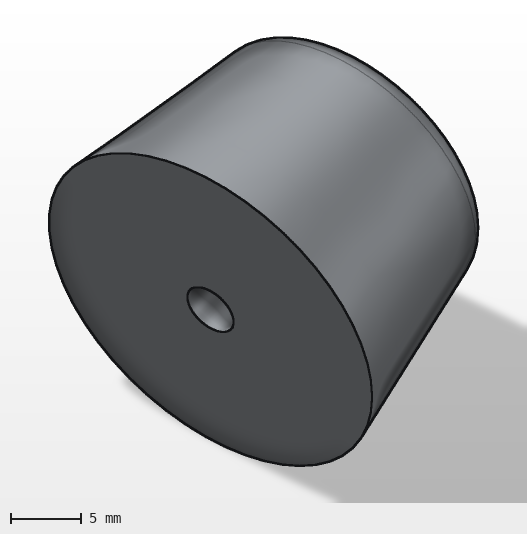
import cadquery as cq

base_diameter = 28.0
tip_diameter = 22.0
height = 18.0
edge_radius = 2.0
hole_diameter = 4.0

half_profile = (
    cq.Workplane("XY")
    .polyline([
        (0, 0),
        (base_diameter / 2, 0),
        (tip_diameter / 2, height),
        (0, height),
    ])
    .close()
)
body = half_profile.revolve(360, (0, 0, 0), (0, 1, 0))

body = body.faces(">Y").edges().fillet(edge_radius)

hole = (
    cq.Workplane("XZ")
    .circle(hole_diameter / 2)
    .extrude(-height)
)

result = body.cut(hole)